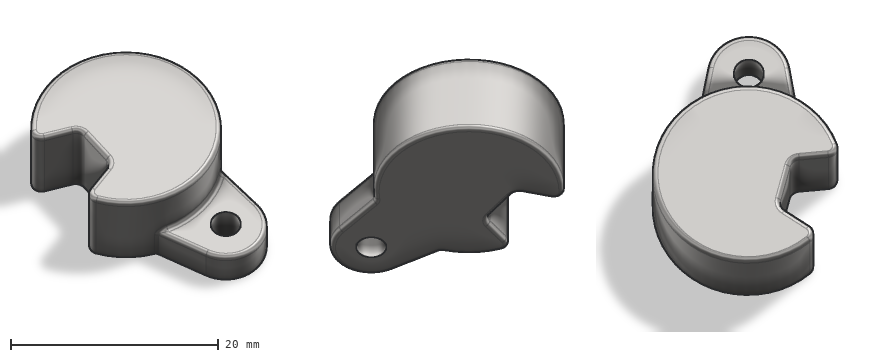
import cadquery as cq
import math

body_radius = 9.2
body_height = 9.15
edge_round = 0.5

notch_floor_y = -3.74
notch_floor_half_width = 2.5
notch_flare_angle = 20.0
notch_corner_radius = 1.0
notch_tip_radius = 1.0

lug_height = 4.0
lug_end_radius = 4.0
overall_length = 25.25
lug_center_x = overall_length - body_radius - lug_end_radius
lug_center_y = 2.98
lug_reach = math.hypot(lug_center_x, lug_center_y)
lug_direction = math.degrees(math.atan2(lug_center_y, lug_center_x))
lug_taper_angle = 10.2
hole_diameter = 2.9


def notched_body():
    mouth_y = -body_radius
    mouth_half_width = notch_floor_half_width + (
        notch_floor_y - mouth_y
    ) * math.tan(math.radians(notch_flare_angle))
    notch = (
        cq.Workplane("XY")
        .polyline([
            (-notch_floor_half_width, notch_floor_y),
            (notch_floor_half_width, notch_floor_y),
            (mouth_half_width, mouth_y),
            (-mouth_half_width, mouth_y),
        ])
        .close()
        .extrude(body_height)
        .edges("|Z and >Y")
        .fillet(notch_corner_radius)
    )
    body = cq.Workplane("XY").circle(body_radius).extrude(body_height).cut(notch)

    tip_zone = cq.selectors.BoxSelector(
        (-body_radius, -body_radius, 0),
        (body_radius, notch_floor_y - 2 * notch_corner_radius, body_height),
    )
    return body.edges("|Z").edges(tip_zone).fillet(notch_tip_radius)


def lug():
    """Taper tangent to the end round, starting inside the body."""
    taper = math.radians(lug_taper_angle)
    tangent_x = lug_reach + lug_end_radius * math.sin(taper)
    tangent_y = lug_end_radius * math.cos(taper)
    root_x = body_radius / 2
    root_y = tangent_y + (tangent_x - root_x) * math.tan(taper)
    return (
        cq.Workplane("XY")
        .moveTo(root_x, -root_y)
        .lineTo(tangent_x, -tangent_y)
        .threePointArc((lug_reach + lug_end_radius, 0), (tangent_x, tangent_y))
        .lineTo(root_x, root_y)
        .close()
        .extrude(lug_height)
        .rotate((0, 0, 0), (0, 0, 1), lug_direction)
    )


def lug_hole():
    return (
        cq.Workplane("XY")
        .center(lug_center_x, lug_center_y)
        .circle(hole_diameter / 2)
        .extrude(lug_height)
    )


def lug_join_edges(part):
    """Vertical edges where the lug sides meet the round wall."""
    join_zone = cq.selectors.BoxSelector(
        (body_radius / 2, notch_floor_y, 0),
        (body_radius, body_radius, lug_height),
    )
    return part.edges("|Z").edges(join_zone)


part = notched_body().union(lug())
rounded_edges = lug_join_edges(part).add(part.edges("not |Z"))
part = rounded_edges.fillet(edge_round)
result = part.cut(lug_hole())